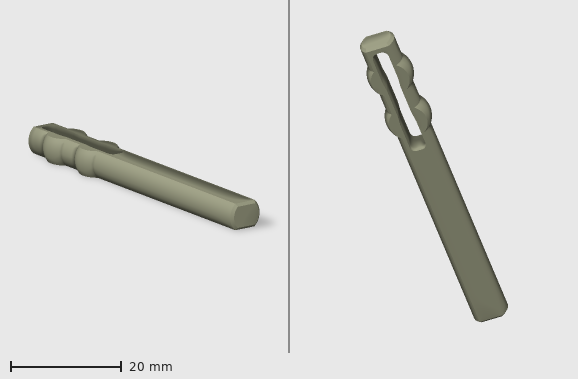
import cadquery as cq

length = 62.5
rod_diameter = 6.6
thickness = 5.0
end_chamfer = 0.5

grip_diameter = 8.6
first_grip_x = 7.65
grip_spacing = 9.7
second_grip_x = first_grip_x + grip_spacing

slot_start_x = 1.4
slot_end_x = 23.5
slot_width = 3.0
waist_width = 2.6
waist_taper_length = 1.9
slot_start_radius = 1.2
slot_end_radius = 1.0


def flatten(body):
    """Trim a body to the flats at the top and bottom of the rod."""
    slab = cq.Workplane("XY").box(
        length, grip_diameter, thickness, centered=(False, True, True)
    )
    return body.intersect(slab)


def make_rod():
    rod = cq.Workplane("YZ").circle(rod_diameter / 2).extrude(length)
    return flatten(rod).faces("<X or >X").chamfer(end_chamfer)


def make_grip(center_x):
    ball = cq.Workplane("XY").sphere(grip_diameter / 2).translate((center_x, 0, 0))
    return flatten(ball)


def make_slot():
    half_width = slot_width / 2
    half_waist = waist_width / 2
    waist_start_x = first_grip_x + waist_taper_length
    waist_end_x = second_grip_x - waist_taper_length
    upper_side = [
        (slot_start_x, half_width),
        (first_grip_x, half_width),
        (waist_start_x, half_waist),
        (waist_end_x, half_waist),
        (second_grip_x, half_width),
        (slot_end_x, half_width),
    ]
    lower_side = [(x, -y) for x, y in reversed(upper_side)]
    slot = (
        cq.Workplane("XY")
        .polyline(upper_side + lower_side)
        .close()
        .extrude(thickness / 2, both=True)
    )
    slot = slot.edges("|Z and <X").fillet(slot_start_radius)
    return slot.edges("|Z and >X").fillet(slot_end_radius)


result = make_rod()
for grip_x in (first_grip_x, second_grip_x):
    result = result.union(make_grip(grip_x))
result = result.cut(make_slot())